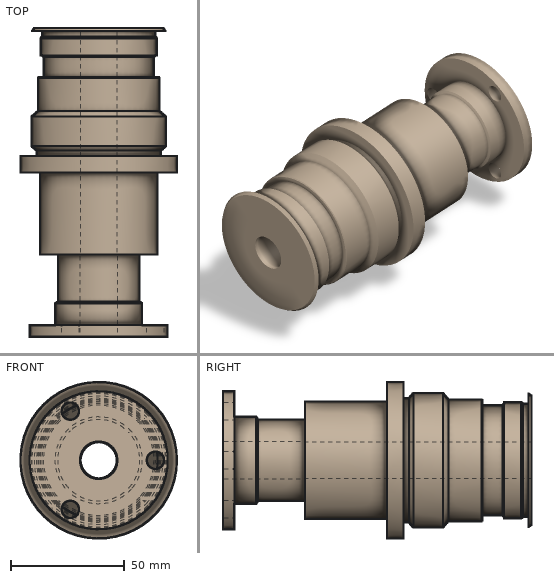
import cadquery as cq

length = 136.7

front_flange_diameter = 61.1
front_flange_end = 5.2
screw_hole_diameter = 7.7
screw_hole_count = 3
screw_circle_diameter = 50.2

collar_diameter = 38.5
collar_end = 14.8
shaft_diameter = 36.2
shaft_start = 15.6

body_diameter = 52.2
body_start = 36.4
mount_flange_diameter = 69.3
mount_flange_start = 72.6
mount_flange_end = 80.0

neck_diameter = 55.0
neck_end = 82.3
ring_diameter = 59.6
ring_start = 84.3
ring_end = 97.3
sleeve_diameter = 54.0
sleeve_start = 99.8
sleeve_end = 114.8
sleeve_chamfer = 0.4

groove_diameter = 48.8
groove_end = 123.7
groove_cone_diameter = 50.2
band_diameter = 51.5
band_start = 124.5
band_end = 132.0
rim_neck_diameter = 50.2
rim_neck_start = 132.9
rim_diameter = 59.0
rim_start = 135.2
rim_back_diameter = 57.0

bore_diameter = 16.5
rear_bore_diameter = 16.0


def turned_body():
    """Revolve the stepped outer profile about the Y axis."""
    steps = [
        (front_flange_diameter, 0),
        (front_flange_diameter, front_flange_end),
        (collar_diameter, front_flange_end),
        (collar_diameter, collar_end),
        (shaft_diameter, shaft_start),
        (shaft_diameter, body_start),
        (body_diameter, body_start),
        (body_diameter, mount_flange_start),
        (mount_flange_diameter, mount_flange_start),
        (mount_flange_diameter, mount_flange_end),
        (neck_diameter, mount_flange_end),
        (neck_diameter, neck_end),
        (ring_diameter, ring_start),
        (ring_diameter, ring_end),
        (sleeve_diameter, sleeve_start),
        (sleeve_diameter, sleeve_end - sleeve_chamfer),
        (sleeve_diameter - 2 * sleeve_chamfer, sleeve_end),
        (groove_diameter, sleeve_end),
        (groove_diameter, groove_end),
        (groove_cone_diameter, band_start),
        (band_diameter, band_start),
        (band_diameter, band_end),
        (rim_neck_diameter, rim_neck_start),
        (rim_neck_diameter, rim_start),
        (rim_diameter, rim_start),
        (rim_back_diameter, length),
    ]
    outline = [(diameter / 2, y) for diameter, y in steps]
    profile = cq.Workplane("XY").polyline([(0, 0)] + outline + [(0, length)]).close()
    return profile.revolve(360, (0, 0, 0), (0, 1, 0))


def rod(diameter, depth):
    """Cylinder on the Y axis, from the front face to the given depth."""
    return cq.Workplane("XZ").circle(diameter / 2).extrude(-depth)


def screw_holes():
    """Holes through the front flange, evenly spaced from the +X axis."""
    return (
        cq.Workplane("XZ")
        .polarArray(screw_circle_diameter / 2, 0, 360, screw_hole_count)
        .circle(screw_hole_diameter / 2)
        .extrude(-front_flange_end)
    )


bore = rod(bore_diameter, body_start).union(rod(rear_bore_diameter, length))

result = turned_body().cut(bore).cut(screw_holes())